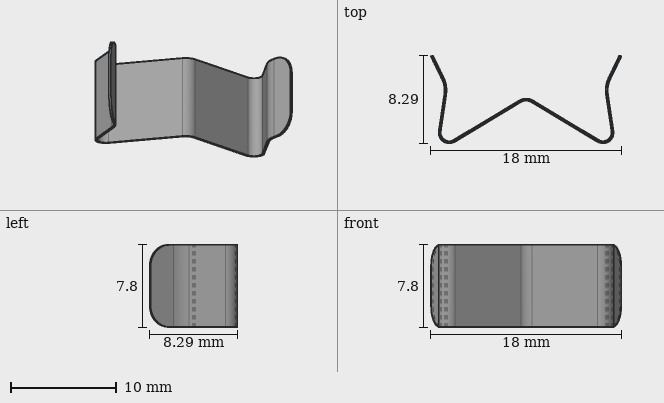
import cadquery as cq
import math

strip_width = 7.8
thickness = 0.2
tip_corner_radius = 2.0

crest_inner_radius = 1.0
foot_inner_radius = 0.81
waist_inner_radius = 2.5

leg_angle = 31
arm_angle = 8.5
flare_angle = 25.9

leg_length = 7.27
arm_length = 3.51
flare_length = 2.35

crest_height = 4.23


def walk_face(offset):
    """Trace one face of the right half, from the crest to the flare tip.

    The face lies `offset` to the left of the strip's centreline.
    Returns the start point and a list of (kind, points) pieces.
    """
    half = thickness / 2
    x, y = 0, crest_height - half
    heading = 0

    def face_point():
        angle = math.radians(heading)
        return (x - offset * math.sin(angle), y + offset * math.cos(angle))

    stretches = [
        (crest_inner_radius + half, -leg_angle, leg_length),
        (foot_inner_radius + half, leg_angle + 90 + arm_angle, arm_length),
        (waist_inner_radius + half, -arm_angle - flare_angle, flare_length),
    ]
    start = face_point()
    pieces = []
    for radius, turn, straight in stretches:
        arc_points = []
        for _ in range(2):
            chord = 2 * radius * math.sin(math.radians(abs(turn) / 4))
            direction = math.radians(heading + turn / 4)
            x += chord * math.cos(direction)
            y += chord * math.sin(direction)
            heading += turn / 2
            arc_points.append(face_point())
        pieces.append(("arc", arc_points))
        x += straight * math.cos(math.radians(heading))
        y += straight * math.sin(math.radians(heading))
        pieces.append(("line", [face_point()]))
    return start, pieces


def half_profile():
    """Closed outline of the right half of the bent strip."""
    upper_start, upper_pieces = walk_face(thickness / 2)
    lower_start, lower_pieces = walk_face(-thickness / 2)

    profile = cq.Workplane("XY").moveTo(*upper_start)
    for kind, points in upper_pieces:
        if kind == "arc":
            profile = profile.threePointArc(*points)
        else:
            profile = profile.lineTo(*points[0])

    profile = profile.lineTo(*lower_pieces[-1][1][-1])
    ends = [lower_start] + [points[-1] for _, points in lower_pieces[:-1]]
    for (kind, points), end in zip(reversed(lower_pieces), reversed(ends)):
        if kind == "arc":
            profile = profile.threePointArc(points[0], end)
        else:
            profile = profile.lineTo(*end)
    return profile.close()


def round_tip(half_strip):
    """Round the two corners at the free end of the flare."""
    tilt = math.radians(flare_angle)
    flare_normal = cq.Vector(math.cos(tilt), -math.sin(tilt), 0)
    tip_edges = cq.selectors.ParallelDirSelector(flare_normal)
    return half_strip.edges(tip_edges).fillet(tip_corner_radius)


right_half = round_tip(half_profile().extrude(strip_width))
left_half = right_half.mirror("YZ")
result = right_half.union(left_half, clean=True)